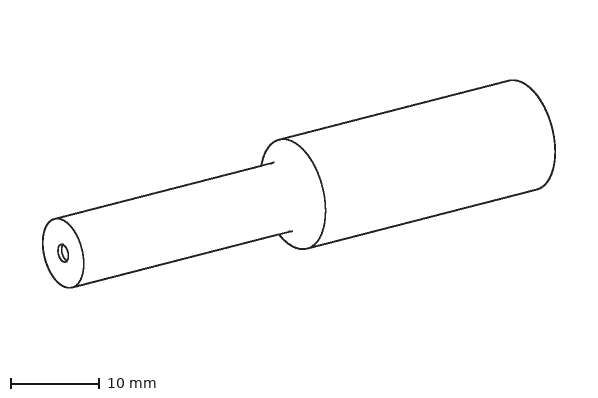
import cadquery as cq

total_length = 63.5
body_diameter = 12.7
body_length = 31.75
shank_diameter = 8.0
fillet_radius = 1.6
recess_diameter = 2.05
recess_depth = 0.5

shank_length = total_length - body_length
body_radius = body_diameter / 2
shank_radius = shank_diameter / 2


def make_stepped_pin():
    """Revolve the half profile: shank at -Y, body at +Y, shoulder at Y = 0."""
    profile = (
        cq.Workplane("XY")
        .moveTo(0, -shank_length)
        .lineTo(shank_radius, -shank_length)
        .lineTo(shank_radius, -fillet_radius)
        .radiusArc((shank_radius + fillet_radius, 0), fillet_radius)
        .lineTo(body_radius, 0)
        .lineTo(body_radius, body_length)
        .lineTo(0, body_length)
        .close()
    )
    return profile.revolve(360, (0, 0, 0), (0, 1, 0))


def make_end_recess():
    """Shallow round recess in the end face of the shank."""
    end_plane = cq.Workplane("XZ", origin=(0, -shank_length, 0))
    return end_plane.circle(recess_diameter / 2).extrude(-recess_depth)


result = make_stepped_pin().cut(make_end_recess())